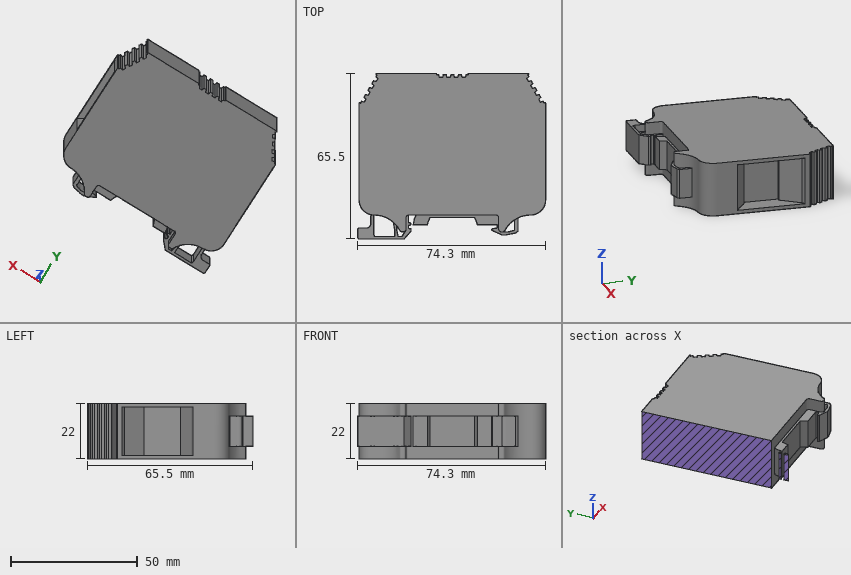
import cadquery as cq
import math


BODY_LENGTH = 73.8
BODY_HEIGHT = 56.03
BODY_THICKNESS = 22.0
MID_X = BODY_LENGTH / 2
SHOULDER_RUN = 6.85
SHOULDER_ANGLE = 60.0
SHOULDER_LENGTH = SHOULDER_RUN / math.cos(math.radians(SHOULDER_ANGLE))
SHOULDER_Y = BODY_HEIGHT - SHOULDER_LENGTH * math.sin(math.radians(SHOULDER_ANGLE))
CORNER_RADIUS = 6.0
HOLLOW_RADIUS = 11.5
FOOT_DROP = 6.6
FOOT_INNER_X = 18.6
FOOT_RADIUS = 1.0

TOP_GRIP_LENGTH = 12.5
SHOULDER_GRIP_LENGTH = 12.9
GRIP_RECESS = 0.5
GROOVE_COUNT = 4
GROOVE_MOUTH = 1.8
GROOVE_FLOOR = 1.3
GROOVE_DEPTH = 1.05
GRIP_END_LAND = 0.85
OVERSHOOT = 1.0

POCKET_THICKNESS = 19.0
POCKET_DEPTH = 8.6
POCKET_STEP_DEPTH = 7.2
POCKET_TOP_Y = 42.24
UPPER_LIP_DEPTH = 1.55
UPPER_LIP_Y = 41.3
BACK_WALL_TOP_Y = 33.6
BACK_WALL_BOTTOM_Y = 19.2
LOWER_LIP_DEPTH = 1.35
LOWER_LIP_Y = 14.9
POCKET_BOTTOM_Y = 14.2

CLIP_THICKNESS = 12.0
CLIP_EMBED = 3.0

TAB_LEFT_X = -0.49
TAB_TOP_Y = -5.07
TAB_TOP_CHAMFER = 0.35
TAB_BOTTOM_RADIUS = 0.8
ARM_LEFT_X = 4.65
ARM_RIGHT_X = 5.85
ARM_TOP_CHAMFER = 0.4
ARM_FILLET_RADIUS = 1.8
SOLE_Y = -9.5
SOLE_THICKNESS = 1.1
SOLE_END_X = 17.8
NOSE_X = 20.65
NOSE_LOW_Y = -6.3
NOSE_HIGH_Y = -5.37
LATCH_WALL_X = FOOT_INNER_X + 1.0
NUB_X = 20.5
NUB_TOP_Y = -3.0
NUB_BOTTOM_Y = -4.05
NUB_CHAMFER = 0.3
RIB_TOP_X = 13.6
RIB_BOTTOM_X = 14.1
RIB_KNEE_Y = -6.0
RIB_WIDTH = 1.4

PAD_Y = -3.82
PAD_WEB_Y = -1.0
PAD_LEFT_X = 21.4
PAD_RIGHT_X = 54.6
PAD_GAP_LEFT_X = 27.0
PAD_GAP_RIGHT_X = 46.75
PAD_SLOPE_RUN = 1.1
PAD_KNEE = (0.5, 1.3)

BARB_TIP_X = 52.3
BARB_TIP_Y = -5.75
BARB_TIP_HEIGHT = 0.8
BARB_ROOT_Y = -5.05
HOOK_SOLE_Y = -7.9
HOOK_SOLE_LEFT_X = 56.6
HOOK_SOLE_RIGHT_X = 57.9
HOOK_RIGHT_X = 62.9
HOOK_WALL = 1.5
HOOK_HEEL = (1.0, 0.8)
HOOK_WINDOW_RISE = 0.65


def mirrored(shape):
    """Copy of a shape on the opposite side of the housing."""
    return shape.mirror("YZ", (MID_X, 0, 0))


def slab(outline, thickness):
    """XY outline closed and extruded equally to both sides of the middle plane."""
    return outline.close().extrude(thickness / 2, both=True)


def polygon_slab(points, thickness):
    """Straight-sided slab through the given XY points."""
    return slab(cq.Workplane("XY").polyline(points), thickness)


def fillet_upright_edge(body, x, y, radius):
    """Round the edge along Z that passes closest to (x, y)."""
    nearest = cq.selectors.NearestToPointSelector((x, y, 0))
    return body.edges("|Z").edges(nearest).fillet(radius)


def hollow_point(drop):
    """Point on the hollow beside the left foot, at a given drop below the underside."""
    height = HOLLOW_RADIUS - drop
    return (CORNER_RADIUS + math.sqrt(HOLLOW_RADIUS**2 - height**2), -drop)


def foot():
    """Left foot with a hollow outer flank and an upright inner wall."""
    tip = hollow_point(FOOT_DROP)
    outline = (
        cq.Workplane("XY")
        .moveTo(CORNER_RADIUS, 0)
        .threePointArc(hollow_point(FOOT_DROP / 4), tip)
        .lineTo(FOOT_INNER_X, -FOOT_DROP)
        .lineTo(FOOT_INNER_X, CLIP_EMBED)
        .lineTo(CORNER_RADIUS, CLIP_EMBED)
    )
    body = slab(outline, BODY_THICKNESS)
    body = fillet_upright_edge(body, FOOT_INNER_X, -FOOT_DROP, FOOT_RADIUS)
    return fillet_upright_edge(body, tip[0], tip[1], FOOT_RADIUS)


def grip_cutter(length):
    """Shallow recess with cross grooves, centred on the origin and cutting toward -Y."""
    groove_bottom = -GRIP_RECESS - GROOVE_DEPTH
    pitch = (length - 2 * GRIP_END_LAND - GROOVE_MOUTH) / (GROOVE_COUNT - 1)
    points = [(-length / 2, OVERSHOOT), (-length / 2, -GRIP_RECESS)]
    for i in range(GROOVE_COUNT):
        x = (i - (GROOVE_COUNT - 1) / 2) * pitch
        points += [
            (x - GROOVE_MOUTH / 2, -GRIP_RECESS),
            (x - GROOVE_FLOOR / 2, groove_bottom),
            (x + GROOVE_FLOOR / 2, groove_bottom),
            (x + GROOVE_MOUTH / 2, -GRIP_RECESS),
        ]
    points += [(length / 2, -GRIP_RECESS), (length / 2, OVERSHOOT)]
    return polygon_slab(points, BODY_THICKNESS)


def pocket():
    """Wire entry pocket in the -X side, tapering inward to a step and a flat back wall."""
    points = [
        (-OVERSHOOT, POCKET_TOP_Y),
        (0, POCKET_TOP_Y),
        (UPPER_LIP_DEPTH, UPPER_LIP_Y),
        (POCKET_STEP_DEPTH, BACK_WALL_TOP_Y),
        (POCKET_DEPTH, BACK_WALL_TOP_Y),
        (POCKET_DEPTH, BACK_WALL_BOTTOM_Y),
        (POCKET_STEP_DEPTH, BACK_WALL_BOTTOM_Y),
        (LOWER_LIP_DEPTH, LOWER_LIP_Y),
        (0, POCKET_BOTTOM_Y),
        (-OVERSHOOT, POCKET_BOTTOM_Y),
    ]
    return polygon_slab(points, POCKET_THICKNESS)


def housing():
    """Main block with feet, finger grips and a wire entry at each end."""
    points = [
        (0, 0),
        (0, SHOULDER_Y),
        (SHOULDER_RUN, BODY_HEIGHT),
        (BODY_LENGTH - SHOULDER_RUN, BODY_HEIGHT),
        (BODY_LENGTH, SHOULDER_Y),
        (BODY_LENGTH, 0),
    ]
    body = polygon_slab(points, BODY_THICKNESS)
    body = body.edges("|Z and <Y").fillet(CORNER_RADIUS)
    body = body.union(foot()).union(mirrored(foot()))
    for x in (FOOT_INNER_X, BODY_LENGTH - FOOT_INNER_X):
        body = fillet_upright_edge(body, x, 0, FOOT_RADIUS)

    top_grip = grip_cutter(TOP_GRIP_LENGTH).translate((MID_X, BODY_HEIGHT, 0))
    shoulder_grip = (
        grip_cutter(SHOULDER_GRIP_LENGTH)
        .rotate((0, 0, 0), (0, 0, 1), SHOULDER_ANGLE)
        .translate((SHOULDER_RUN / 2, (SHOULDER_Y + BODY_HEIGHT) / 2, 0))
    )
    body = body.cut(top_grip).cut(shoulder_grip).cut(mirrored(shoulder_grip))
    return body.cut(pocket()).cut(mirrored(pocket()))


def release_clip():
    """Left clip: arm with pull tab, sole, slanted nose and a latch wall against the foot."""
    tab_arc_inset = TAB_BOTTOM_RADIUS * (1 - math.sqrt(0.5))
    arm_arc_x = ARM_LEFT_X - ARM_FILLET_RADIUS
    arm_arc_reach = ARM_FILLET_RADIUS * math.sqrt(0.5)
    outline = (
        cq.Workplane("XY")
        .moveTo(ARM_LEFT_X + ARM_TOP_CHAMFER, CLIP_EMBED)
        .lineTo(ARM_LEFT_X + ARM_TOP_CHAMFER, 0)
        .lineTo(ARM_LEFT_X, -ARM_TOP_CHAMFER)
        .lineTo(ARM_LEFT_X, TAB_TOP_Y + ARM_FILLET_RADIUS)
        .threePointArc(
            (arm_arc_x + arm_arc_reach, TAB_TOP_Y + ARM_FILLET_RADIUS - arm_arc_reach),
            (arm_arc_x, TAB_TOP_Y),
        )
        .lineTo(TAB_LEFT_X + TAB_TOP_CHAMFER, TAB_TOP_Y)
        .lineTo(TAB_LEFT_X, TAB_TOP_Y - TAB_TOP_CHAMFER)
        .lineTo(TAB_LEFT_X, SOLE_Y + TAB_BOTTOM_RADIUS)
        .threePointArc(
            (TAB_LEFT_X + tab_arc_inset, SOLE_Y + tab_arc_inset),
            (TAB_LEFT_X + TAB_BOTTOM_RADIUS, SOLE_Y),
        )
        .lineTo(SOLE_END_X, SOLE_Y)
        .lineTo(NOSE_X, NOSE_LOW_Y)
        .lineTo(NOSE_X, NOSE_HIGH_Y)
        .lineTo(LATCH_WALL_X + NUB_CHAMFER, NOSE_HIGH_Y)
        .lineTo(LATCH_WALL_X, NOSE_HIGH_Y + NUB_CHAMFER)
        .lineTo(LATCH_WALL_X, NUB_BOTTOM_Y)
        .lineTo(NUB_X - NUB_CHAMFER, NUB_BOTTOM_Y)
        .lineTo(NUB_X, NUB_BOTTOM_Y + NUB_CHAMFER)
        .lineTo(NUB_X, NUB_TOP_Y - NUB_CHAMFER)
        .lineTo(NUB_X - NUB_CHAMFER, NUB_TOP_Y)
        .lineTo(LATCH_WALL_X, NUB_TOP_Y)
        .lineTo(LATCH_WALL_X, CLIP_EMBED)
    )
    clip = slab(outline, CLIP_THICKNESS)

    floor_y = SOLE_Y + SOLE_THICKNESS
    arm_foot_width = 0.3
    arm_foot_height = 0.9
    main_window = [
        (ARM_RIGHT_X, 0),
        (ARM_RIGHT_X, floor_y + arm_foot_height),
        (ARM_RIGHT_X + arm_foot_width, floor_y),
        (RIB_BOTTOM_X, floor_y),
        (RIB_BOTTOM_X, RIB_KNEE_Y),
        (RIB_TOP_X, -FOOT_DROP / 2),
        (RIB_TOP_X, 0),
    ]
    nose_floor_end_x = 17.0
    nose_slope_top_y = -5.8
    nose_window = [
        (RIB_TOP_X + RIB_WIDTH, 0),
        (RIB_TOP_X + RIB_WIDTH, RIB_KNEE_Y),
        (RIB_BOTTOM_X + RIB_WIDTH, floor_y),
        (nose_floor_end_x, floor_y),
        (FOOT_INNER_X, nose_slope_top_y),
        (FOOT_INNER_X, 0),
    ]
    for window in (main_window, nose_window):
        clip = clip.cut(polygon_slab(window, CLIP_THICKNESS))
    return clip


def rail_pad():
    """Stepped pad between the feet that rests on the mounting rail."""
    knee_inset, knee_drop = PAD_KNEE
    points = [
        (PAD_LEFT_X + PAD_SLOPE_RUN, CLIP_EMBED),
        (PAD_LEFT_X + PAD_SLOPE_RUN, 0),
        (PAD_LEFT_X + knee_inset, -knee_drop),
        (PAD_LEFT_X, PAD_Y),
        (PAD_GAP_LEFT_X, PAD_Y),
        (PAD_GAP_LEFT_X + knee_inset, PAD_WEB_Y - knee_drop),
        (PAD_GAP_LEFT_X + PAD_SLOPE_RUN, PAD_WEB_Y),
        (PAD_GAP_RIGHT_X - PAD_SLOPE_RUN, PAD_WEB_Y),
        (PAD_GAP_RIGHT_X - knee_inset, PAD_WEB_Y - knee_drop),
        (PAD_GAP_RIGHT_X, PAD_Y),
        (PAD_RIGHT_X, PAD_Y),
        (PAD_RIGHT_X, CLIP_EMBED),
    ]
    return polygon_slab(points, CLIP_THICKNESS)


def fixed_hook():
    """Right hook: barb for the rail edge, carried under and around the right foot."""
    heel_run, heel_rise = HOOK_HEEL
    barb_half = BARB_TIP_HEIGHT / 2
    points = [
        (PAD_RIGHT_X, CLIP_EMBED),
        (PAD_RIGHT_X, BARB_ROOT_Y),
        (BARB_TIP_X + barb_half, BARB_TIP_Y + barb_half),
        (BARB_TIP_X, BARB_TIP_Y),
        (BARB_TIP_X + barb_half, BARB_TIP_Y - barb_half),
        (HOOK_SOLE_LEFT_X, HOOK_SOLE_Y),
        (HOOK_SOLE_RIGHT_X, HOOK_SOLE_Y),
        (HOOK_RIGHT_X - heel_run, HOOK_SOLE_Y + heel_rise),
        (HOOK_RIGHT_X, HOOK_SOLE_Y + 2 * heel_rise),
        (HOOK_RIGHT_X, CLIP_EMBED),
    ]
    window_right_x = HOOK_RIGHT_X - HOOK_WALL
    window = [
        (HOOK_SOLE_LEFT_X, -FOOT_DROP),
        ((HOOK_SOLE_LEFT_X + window_right_x) / 2, -FOOT_DROP),
        (window_right_x, -FOOT_DROP + HOOK_WINDOW_RISE),
        (window_right_x, 0),
        (HOOK_SOLE_LEFT_X, 0),
    ]
    return polygon_slab(points, CLIP_THICKNESS).cut(polygon_slab(window, CLIP_THICKNESS))


result = housing().union(release_clip()).union(rail_pad()).union(fixed_hook())